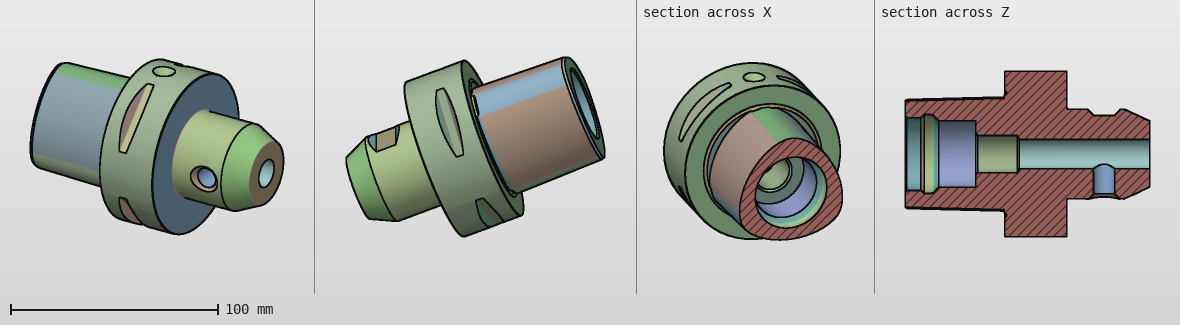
import cadquery as cq
import math


shank_length = 48.0
polygon_diameter = 55.0
polygon_eccentricity = 2.0
taper_on_diameter = 1 / 20
taper_end = -2.2
lead_in_length = 1.4
lead_in_depth = 0.6
lobe_seam = math.radians(26)
points_per_face = 13

root_boss_length = 0.3
root_inner_radius = 28.7
root_outer_radius = 30.4
root_start = -1.9
root_fillet = 0.8

flange_diameter = 80.0
flange_width = 30.0
flange_front_chamfer = 0.2
flange_rear_chamfer = 0.3
gripper_x = 12.0
gripper_floor_width = 3.6
gripper_floor_radius = 35.6
gripper_flank_angle = 30.0
gripper_corner_fillet = 0.5
dimple_diameter = 11.0

nose_end = 70.0
nose_diameter = 43.5
nose_tip_diameter = 32.0
nose_cone_start = 57.6
nose_root_fillet = 0.6
nose_tip_fillet = 0.5

clamp_mouth_diameter = 35.0
clamp_mouth_chamfer = 0.8
clamp_mouth_depth = 7.6
clamp_groove_diameter = 38.0
clamp_groove_start = 9.1
clamp_groove_end = 12.1
clamp_cone_start = 14.0
clamp_cone_diameter = 36.4
clamp_chamber_diameter = 32.0
clamp_chamber_start = 16.2
clamp_chamber_depth = 34.0
thread_core_diameter = 17.84
thread_chamfer = 1.0
thread_length = 20.0
thread_point_half_angle = 60.0
tool_bore_diameter = 14.0

screw_x = 48.0
screw_core_diameter = 10.11
screw_sink_diameter = 15.2
flat_distance = 18.7
flat_floor_width = 10.0


def polygon_point(angle, diameter):
    """(y, z) of the polygon where its outward normal makes `angle` with +Z."""
    support = diameter / 2 + polygon_eccentricity * math.cos(3 * angle)
    slope = -3 * polygon_eccentricity * math.sin(3 * angle)
    y = support * math.sin(angle) + slope * math.cos(angle)
    z = support * math.cos(angle) - slope * math.sin(angle)
    return y, z


def polygon_wire(x, diameter):
    """Closed polygon outline at station x, one smooth edge per lobe and per side."""
    third = 2 * math.pi / 3
    edges = []
    for lobe in range(3):
        centre = lobe * third
        seams = (centre - lobe_seam, centre + lobe_seam, centre + third - lobe_seam)
        for start, end in zip(seams, seams[1:]):
            step = (end - start) / (points_per_face - 1)
            angles = [start + i * step for i in range(points_per_face)]
            points = [cq.Vector(x, *polygon_point(a, diameter)) for a in angles]
            tangents = [cq.Vector(0, math.cos(a), -math.sin(a)) for a in (start, end)]
            edges.append(cq.Edge.makeSpline(points, tangents=tangents))
    return cq.Wire.assembleEdges(edges)


def revolve_about_x(outline):
    """Revolve a closed (x, radius) outline about the X axis."""
    return outline.close().revolve(360, (0, 0, 0), (1, 0, 0))


def make_shank():
    def diameter_at(x):
        return polygon_diameter + (x - taper_end) * taper_on_diameter

    lead_in_end = lead_in_length - shank_length
    tip = polygon_wire(-shank_length, diameter_at(lead_in_end) - 2 * lead_in_depth)
    small = polygon_wire(lead_in_end, diameter_at(lead_in_end))
    large = polygon_wire(taper_end, polygon_diameter)
    root = polygon_wire(flange_width / 2, polygon_diameter)
    sections = (tip, small, large, root)
    shank = cq.Workplane("XY")
    for first, second in zip(sections, sections[1:]):
        shank = shank.union(cq.Workplane(cq.Solid.makeLoft([first, second], True)))
    return shank


def make_root_undercut():
    """Ring that trims the three lobes and ends in a half-round groove in the flange face."""
    corner = root_inner_radius + root_fillet
    bulge = root_fillet * (1 - math.sqrt(0.5))
    groove_radius = (root_outer_radius - root_inner_radius) / 2
    outline = (
        cq.Workplane("XY")
        .moveTo(root_start, root_outer_radius)
        .lineTo(root_start, corner)
        .threePointArc(
            (root_start + bulge, root_inner_radius + bulge),
            (root_start + root_fillet, root_inner_radius),
        )
        .lineTo(0, root_inner_radius)
        .threePointArc(
            (groove_radius, root_inner_radius + groove_radius),
            (0, root_outer_radius),
        )
    )
    return revolve_about_x(outline)


def make_flange_and_nose():
    flange_radius = flange_diameter / 2
    nose_radius = nose_diameter / 2
    fillet_bulge = nose_root_fillet * (1 - math.sqrt(0.5))
    outline = (
        cq.Workplane("XY")
        .moveTo(-root_boss_length, 0)
        .lineTo(-root_boss_length, root_inner_radius)
        .lineTo(0, root_inner_radius)
        .lineTo(0, flange_radius - flange_front_chamfer)
        .lineTo(flange_front_chamfer, flange_radius)
        .lineTo(flange_width - flange_rear_chamfer, flange_radius)
        .lineTo(flange_width, flange_radius - flange_rear_chamfer)
        .lineTo(flange_width, nose_radius + nose_root_fillet)
        .threePointArc(
            (flange_width + fillet_bulge, nose_radius + fillet_bulge),
            (flange_width + nose_root_fillet, nose_radius),
        )
        .lineTo(nose_cone_start, nose_radius)
        .lineTo(nose_end, nose_tip_diameter / 2)
        .lineTo(nose_end, 0)
    )
    return revolve_about_x(outline).faces(">X").edges().fillet(nose_tip_fillet)


def make_bore():
    front = -shank_length
    mouth = clamp_mouth_diameter / 2
    groove = clamp_groove_diameter / 2
    chamber = clamp_chamber_diameter / 2
    thread = thread_core_diameter / 2
    tool = tool_bore_diameter / 2
    floor = front + clamp_chamber_depth
    thread_end = floor + thread_length
    point_length = (thread - tool) / math.tan(math.radians(thread_point_half_angle))
    outline = (
        cq.Workplane("XY")
        .moveTo(front, 0)
        .lineTo(front, mouth + clamp_mouth_chamfer)
        .lineTo(front + clamp_mouth_chamfer, mouth)
        .lineTo(front + clamp_mouth_depth, mouth)
        .lineTo(front + clamp_groove_start, groove)
        .lineTo(front + clamp_groove_end, groove)
        .tangentArcPoint((front + clamp_cone_start, clamp_cone_diameter / 2), relative=False)
        .lineTo(front + clamp_chamber_start, chamber)
        .lineTo(floor, chamber)
        .lineTo(floor, thread + thread_chamfer)
        .lineTo(floor + thread_chamfer, thread)
        .lineTo(thread_end, thread)
        .lineTo(thread_end + point_length, tool)
        .lineTo(nose_end, tool)
        .lineTo(nose_end, 0)
    )
    return revolve_about_x(outline)


def make_gripper_slots():
    """Four trapezoidal slots with rounded corners and straight floors, halfway between the Y and Z axes."""
    top = flange_diameter / 2
    half_floor = gripper_floor_width / 2
    flank_slope = math.tan(math.radians(gripper_flank_angle))
    half_top = half_floor + (top - gripper_floor_radius) * flank_slope
    slot = (
        cq.Workplane("XZ")
        .moveTo(gripper_x - half_floor, gripper_floor_radius)
        .lineTo(gripper_x + half_floor, gripper_floor_radius)
        .lineTo(gripper_x + half_top, top)
        .lineTo(gripper_x - half_top, top)
        .close()
        .extrude(flange_diameter / 2, both=True)
        .faces("<Z")
        .edges("|Y")
        .fillet(gripper_corner_fillet)
    )
    slots = cq.Workplane("XY")
    for quarter in range(4):
        slots = slots.union(slot.rotate((0, 0, 0), (1, 0, 0), 45 + 90 * quarter))
    return slots


def make_dimple():
    """90 degree conical dimple on top of the flange."""
    radius = dimple_diameter / 2
    top = cq.Vector(gripper_x, 0, flange_diameter / 2)
    return cq.Workplane(cq.Solid.makeCone(radius, 0, radius, top, cq.Vector(0, 0, -1)))


def make_screw_hole():
    """Radial hole from -Y into the tool bore, with a 90 degree countersink."""
    core = screw_core_diameter / 2
    sink = screw_sink_diameter / 2
    surface = nose_diameter / 2
    outline = (
        cq.Workplane("XY")
        .moveTo(screw_x, 0)
        .lineTo(screw_x + core, 0)
        .lineTo(screw_x + core, -surface + sink - core)
        .lineTo(screw_x + sink, -surface)
        .lineTo(screw_x, -surface)
        .close()
    )
    return outline.revolve(360, (screw_x, 0, 0), (screw_x, 1, 0))


def make_flat():
    """Flat across the +Y side of the nose, with 45 degree end walls."""
    half_floor = flat_floor_width / 2
    top = nose_diameter / 2
    half_top = half_floor + top - flat_distance
    return (
        cq.Workplane("XY")
        .moveTo(screw_x - half_floor, flat_distance)
        .lineTo(screw_x + half_floor, flat_distance)
        .lineTo(screw_x + half_top, top)
        .lineTo(screw_x - half_top, top)
        .close()
        .extrude(nose_diameter / 2, both=True)
    )


result = (
    make_shank()
    .union(make_flange_and_nose())
    .cut(make_root_undercut())
    .cut(make_bore())
    .cut(make_gripper_slots())
    .cut(make_dimple())
    .cut(make_screw_hole())
    .cut(make_flat())
)